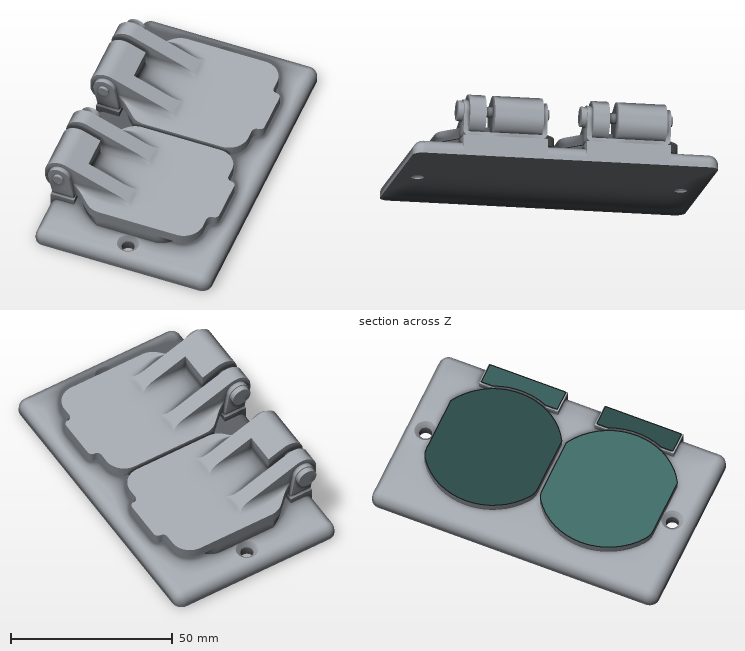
import cadquery as cq
import math


plate_length = 96.5
plate_width = 58.3
plate_thickness = 4.5
edge_radius = 3.2
screw_y = 41.6
screw_hole_diameter = 4.1
countersink_diameter = 6.95
countersink_half_angle = 45.0

station_pitch = 39.0
station_ys = [-station_pitch / 2, station_pitch / 2]

block_depth = 7.7
block_half_width = 13.3
block_top = 6.5

hinge_x = 2.6
hinge_z = 14.8
pin_radius = 1.6
pin_head_radius = 3.2
pin_head_length = 1.7
pin_overhang = 0.9

barrel_half_width = 11.7
ear_thickness = 1.5
ear_outer = barrel_half_width + ear_thickness
ear_radius = 3.6
bracket_rear = 0.4
bracket_front = 7.4
bend_radius = 1.6

lid_bottom = 7.7
lid_top = 11.0
lid_half_width = 18.8
lid_rear = 7.0
lid_front = 50.3
corner_radius = 6.4
flare_angle = math.radians(45)
flare_start_x = 10.0
flare_corner_x = 18.05
tab_half_width = 7.9
tab_radius = 1.5
plug_x = 27.9
plug_radius = 21.5
plug_clearance = 0.8

barrel_radius = 5.1
rib_inner_y = 6.5
rib_end_x = 26.0
rib_end_radius = 2.5
rib_width = barrel_half_width - rib_inner_y
web_end_y = 3.8
web_end_x = 9.9
foot_radius = 1.6


def on_circle(center, radius, angle):
    """Point of a circle at an angle in radians."""
    return (center[0] + radius * math.cos(angle), center[1] + radius * math.sin(angle))


def box(x_range, y_range, z_range):
    """Box between two X, two Y and two Z positions."""
    return cq.Workplane("XY").box(
        x_range[1] - x_range[0], y_range[1] - y_range[0], z_range[1] - z_range[0], centered=False
    ).translate((x_range[0], y_range[0], z_range[0]))


def along_y(profile, y_start, y_end):
    """Extrudes a profile given on the XZ plane from one Y position to a higher one."""
    return profile.extrude(y_start - y_end).translate((0, y_start, 0))


def hinge_cylinder(radius, y_start, y_end):
    """Cylinder about the hinge axis."""
    return along_y(cq.Workplane("XZ").center(hinge_x, hinge_z).circle(radius), y_start, y_end)


def plug_disc(radius, z_start, z_end):
    """Upright disc on the axis of the lid plug."""
    return cq.Workplane("XY", origin=(plug_x, 0, z_start)).circle(radius).extrude(z_end - z_start)



def make_plate():
    plate = box((0, plate_width), (-plate_length / 2, plate_length / 2), (0, plate_thickness))
    plate = plate.edges("|Z").fillet(edge_radius)
    plate = plate.faces(">Z").edges().fillet(edge_radius)
    for y in station_ys:
        plate = plate.union(make_block().translate((0, y, 0)))
    for y in (-screw_y, screw_y):
        plate = plate.cut(screw_cutter().translate((plate_width / 2, y, 0)))
    return plate


def screw_cutter():
    """Countersunk through hole: a conical mouth flush with the plate top above a straight bore."""
    side_run = (countersink_diameter - screw_hole_diameter) / 2
    depth = side_run / math.tan(math.radians(countersink_half_angle))
    bore = cq.Workplane("XY").circle(screw_hole_diameter / 2).extrude(plate_thickness)
    mouth = (
        cq.Workplane("XY", origin=(0, 0, plate_thickness))
        .circle(countersink_diameter / 2)
        .extrude(-depth, taper=countersink_half_angle)
    )
    return bore.union(mouth)


def make_block():
    """Block under the bracket, hollowed round the lid plug above the plate surface."""
    block = box((0, block_depth), (-block_half_width, block_half_width), (0, block_top))
    return block.cut(plug_disc(plug_radius + plug_clearance, plate_thickness, block_top))



def ear_tangent_point(foot, side):
    """Point where a line from an ear's foot touches its rounded top; side is -1 rear, +1 front."""
    dx = foot[0] - hinge_x
    dz = foot[1] - hinge_z
    angle = math.atan2(dz, dx) + side * math.acos(ear_radius / math.hypot(dx, dz))
    return on_circle((hinge_x, hinge_z), ear_radius, angle)


def make_bracket():
    bend_top = block_top + bend_radius
    rear_foot = (bracket_rear, bend_top)
    front_foot = (bracket_front, bend_top)
    side = (
        cq.Workplane("XZ")
        .moveTo(bracket_rear, block_top)
        .lineTo(*rear_foot)
        .lineTo(*ear_tangent_point(rear_foot, -1))
        .threePointArc((hinge_x, hinge_z + ear_radius), ear_tangent_point(front_foot, 1))
        .lineTo(*front_foot)
        .lineTo(bracket_front, block_top)
        .close()
    )
    bracket = along_y(side, -ear_outer, ear_outer)
    bracket = bracket.faces("<Z").edges("|X").fillet(bend_radius)

    ear_top = hinge_z + ear_radius
    between_ears = (-barrel_half_width, barrel_half_width)
    full_depth = (hinge_x - ear_radius, bracket_front)
    bracket = bracket.cut(box(full_depth, between_ears, (lid_bottom, ear_top)))
    bracket = bracket.cut(plug_disc(plug_radius + plug_clearance, block_top, lid_bottom))
    return bracket.cut(hinge_cylinder(pin_radius, -ear_outer, ear_outer))



def make_pin():
    shank = hinge_cylinder(pin_radius, -ear_outer - pin_overhang, ear_outer)
    head = hinge_cylinder(pin_head_radius, ear_outer, ear_outer + pin_head_length)
    return shank.union(head)



def lid_half_outline():
    """Half of the lid outline on the +Y side, closed along the lid's centre line."""
    rounding = corner_radius * math.sin(flare_angle)
    corner_center = (flare_corner_x, lid_half_width - corner_radius)
    flare_end = on_circle(corner_center, corner_radius, math.pi / 2 + flare_angle)
    flare_start = (flare_start_x, flare_end[1] - (flare_end[0] - flare_start_x) * math.tan(flare_angle))
    neck_center = (
        flare_start[0] - rounding,
        flare_start[1] + corner_radius * math.cos(flare_angle),
    )
    neck_start_angle = -math.acos((lid_rear - neck_center[0]) / corner_radius)
    neck_mid_angle = (neck_start_angle + flare_angle - math.pi / 2) / 2
    front_center = (lid_front - corner_radius, lid_half_width - corner_radius)
    inner_center = (lid_front + tab_radius, tab_half_width + tab_radius)
    outer_center = (lid_front + tab_radius, tab_half_width - tab_radius)
    tab_front = lid_front + 2 * tab_radius
    return (
        cq.Workplane("XY", origin=(0, 0, lid_bottom))
        .moveTo(lid_rear, 0)
        .lineTo(*on_circle(neck_center, corner_radius, neck_start_angle))
        .threePointArc(on_circle(neck_center, corner_radius, neck_mid_angle), flare_start)
        .lineTo(*flare_end)
        .threePointArc(
            on_circle(corner_center, corner_radius, math.pi / 2 + flare_angle / 2),
            (flare_corner_x, lid_half_width),
        )
        .lineTo(front_center[0], lid_half_width)
        .threePointArc(on_circle(front_center, corner_radius, math.pi / 4), (lid_front, front_center[1]))
        .lineTo(lid_front, inner_center[1])
        .threePointArc(
            on_circle(inner_center, tab_radius, -math.pi * 3 / 4), (inner_center[0], tab_half_width)
        )
        .threePointArc(on_circle(outer_center, tab_radius, math.pi / 4), (tab_front, outer_center[1]))
        .lineTo(tab_front, 0)
        .close()
    )


def lid_prism(height):
    """Full lid outline raised from the lid bottom."""
    half = lid_half_outline().extrude(height)
    return half.union(half.mirror("XZ"))


def make_plug():
    """Round plug with flat sides; only its far corners are rounded."""
    plug = plug_disc(plug_radius, plate_thickness, lid_bottom)
    plug = plug.intersect(
        box((0, plate_width), (-lid_half_width, lid_half_width), (plate_thickness, lid_bottom))
    )
    return plug.edges("|Z").edges(">X").fillet(corner_radius)


def rib_profile():
    """Side shape of barrel and rib: stadium-shaped rear, sloping top blended into the lid."""
    run = rib_end_x - hinge_x
    drop = hinge_z - lid_top
    slope = math.asin(barrel_radius / math.hypot(run, drop)) + math.atan2(drop, run)
    lower_z = lid_bottom + barrel_radius
    slope_normal = math.pi / 2 - slope
    blend = rib_end_radius * math.tan(slope / 2)
    blend_end_x = rib_end_x + blend
    blend_center = (blend_end_x, lid_top + rib_end_radius)
    return (
        cq.Workplane("XZ")
        .moveTo(hinge_x, lid_bottom)
        .threePointArc(
            on_circle((hinge_x, lower_z), barrel_radius, -math.pi * 3 / 4), (hinge_x - barrel_radius, lower_z)
        )
        .lineTo(hinge_x - barrel_radius, hinge_z)
        .threePointArc(
            on_circle((hinge_x, hinge_z), barrel_radius, math.pi * 3 / 4),
            on_circle((hinge_x, hinge_z), barrel_radius, slope_normal),
        )
        .lineTo(*on_circle(blend_center, rib_end_radius, -math.pi / 2 - slope))
        .threePointArc(
            on_circle(blend_center, rib_end_radius, -math.pi / 2 - slope / 2), (blend_end_x, lid_top)
        )
        .lineTo(blend_end_x, lid_bottom)
        .close()
    )


def foot_profile(plane, wall, outward):
    """Concave fillet section at the foot of a wall that rises from the lid top."""
    reach = outward * foot_radius
    center = (wall + reach, lid_top + foot_radius)
    middle = (
        center[0] - reach * math.cos(math.pi / 4),
        center[1] - foot_radius * math.sin(math.pi / 4),
    )
    return (
        cq.Workplane(plane)
        .moveTo(wall, lid_top)
        .lineTo(wall, center[1])
        .threePointArc(middle, (center[0], lid_top))
        .close()
    )


def make_rib_feet():
    """Fillets along both sides of both ribs, trimmed by the rib slope and the lid outline."""
    feet = cq.Workplane("XY")
    for side in (-1, 1):
        for wall, outward in ((barrel_half_width, 1), (rib_inner_y, -1)):
            foot = foot_profile("YZ", side * wall, side * outward).extrude(rib_end_x + foot_radius)
            feet = feet.add(foot)
    feet = feet.combine()
    under_slope = along_y(rib_profile(), -lid_half_width, lid_half_width)
    return feet.intersect(under_slope).intersect(lid_prism(hinge_z - lid_bottom))


def make_lid():
    lid = lid_prism(lid_top - lid_bottom).union(make_plug())
    for y_start in (-barrel_half_width, rib_inner_y):
        lid = lid.union(along_y(rib_profile(), y_start, y_start + rib_width))

    web = along_y(rib_profile(), -rib_inner_y, web_end_y)
    web_space = box(
        (hinge_x - barrel_radius, web_end_x), (-rib_inner_y, web_end_y), (lid_bottom, hinge_z + barrel_radius)
    )
    web_foot = along_y(foot_profile("XZ", web_end_x, 1), -rib_inner_y, web_end_y)
    lid = lid.union(web.intersect(web_space)).union(web_foot)

    lid = lid.union(make_rib_feet()).cut(make_bracket())
    return lid.cut(hinge_cylinder(pin_radius, -barrel_half_width, barrel_half_width))



plate = make_plate()
brackets = [make_bracket().translate((0, y, 0)) for y in station_ys]
pins = [make_pin().translate((0, y, 0)) for y in station_ys]
lids = [make_lid().translate((0, y, 0)) for y in station_ys]

result = cq.Compound.makeCompound([
    body.solids().val() for body in [plate, *brackets, *pins, *lids]
])